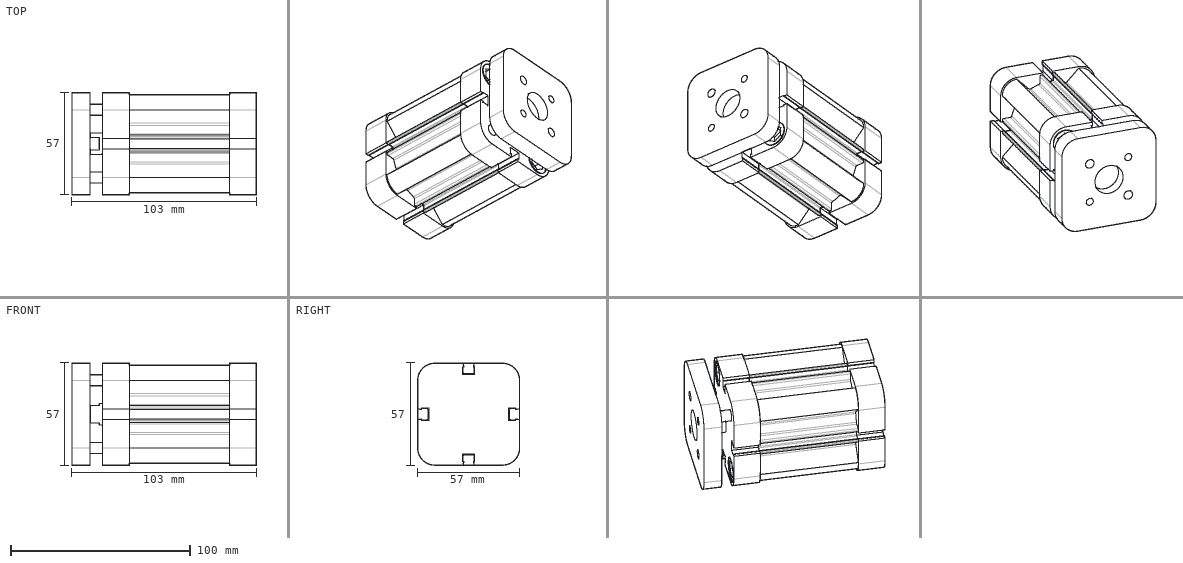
import cadquery as cq
import math

total_length = 103.0
plate_thickness = 10.2
stroke_gap = 6.8
cap_length = 15.0
front_cap_start = plate_thickness + stroke_gap
profile_start = front_cap_start + cap_length
rear_cap_start = total_length - cap_length
profile_length = rear_cap_start - profile_start

section_size = 57.0
half_section = section_size / 2
corner_radius = 9.6
corner_offset = half_section - corner_radius

plate_recess_diameter = 17.0
plate_recess_depth = 6.6
plate_hole_offset = 11.6
plate_large_hole_diameter = 5.2
plate_small_hole_diameter = 4.2

guide_rod_diameter = 6.3
piston_diameter = 12.0
flat_spacing = 10.0
flat_length = 5.0
piston_chamfer = 0.3

slot_lip_bottom = 26.3
cap_slot_width = 5.8
cap_chamber_width = 6.8
cap_slot_floor = 22.2
profile_slot_width = 5.5
profile_chamber_width = 6.2
profile_slot_floor = 22.8
slot_fillet = 0.5

profile_inset = 1.0
barrel_radius = 22.5
web_width = 12.4
web_root_fillet = 1.0
rib_width = 9.5
rib_height = 27.4
rib_edge_fillet = 0.8
rib_root_fillet = 0.9

socket_rim_diameter = 14.2
socket_rim_depth = 0.5
socket_across_flats = 8.8
socket_offset = 19.3
socket_depth = 6.4

rod_corners = [(-corner_offset, corner_offset), (corner_offset, -corner_offset)]
socket_corners = [(socket_offset, socket_offset), (-socket_offset, -socket_offset)]


def rounded_square(start, length, size, radius):
    """Square bar along X with rounded long edges."""
    bar = cq.Workplane("YZ", origin=(start, 0, 0)).rect(size, size).extrude(length)
    return bar.edges("|X").fillet(radius)


def cylinders(start, length, diameter, centers):
    """Cylinders along X at the given (Y, Z) centres."""
    plane = cq.Workplane("YZ", origin=(start, 0, 0))
    return plane.pushPoints(centers).circle(diameter / 2).extrude(length)


def top_bar(start, length, width, bottom, top):
    """Rectangular bar along X above the axis, centred on Y = 0."""
    plane = cq.Workplane("YZ", origin=(start, 0, (bottom + top) / 2))
    return plane.rect(width, top - bottom).extrude(length)


def turned(shape, quarter_turns):
    return shape.rotate((0, 0, 0), (1, 0, 0), 90 * quarter_turns)


def distance_from_axis(edge):
    return math.hypot(edge.Center().y, edge.Center().z)


def make_plate():
    h = plate_hole_offset
    plate = rounded_square(0, plate_thickness, section_size, corner_radius)
    plate = plate.cut(cylinders(0, plate_recess_depth, plate_recess_diameter, [(0, 0)]))
    plate = plate.cut(cylinders(0, plate_thickness, plate_large_hole_diameter, [(h, h), (-h, -h)]))
    return plate.cut(cylinders(0, plate_thickness, plate_small_hole_diameter, [(-h, h), (h, -h)]))


def make_cap(start):
    """End cap with an undercut slot in each side."""
    cap = rounded_square(start, cap_length, section_size, corner_radius)
    neck = top_bar(start, cap_length, cap_slot_width, cap_slot_floor, half_section)
    chamber = top_bar(start, cap_length, cap_chamber_width, cap_slot_floor, slot_lip_bottom)
    slot = neck.union(chamber)
    for side in range(4):
        cap = cap.cut(turned(slot, side))
    return cap


def make_profile_core():
    """Round barrel with a flat-sided diagonal web running out to each rounded corner."""
    envelope = rounded_square(profile_start, profile_length,
                              section_size - 2 * profile_inset, corner_radius - profile_inset)
    web = cq.Workplane("YZ", origin=(profile_start, 0, 0)).rect(2 * section_size, web_width)
    web = web.extrude(profile_length).rotate((0, 0, 0), (1, 0, 0), 45)
    webs = web.union(turned(web, 1)).intersect(envelope)
    barrel = cylinders(profile_start, profile_length, 2 * barrel_radius, [(0, 0)])
    barrel = barrel.rotate((0, 0, 0), (1, 0, 0), 45)
    core = barrel.union(webs)
    web_roots = core.edges("|X").filter(lambda edge: distance_from_axis(edge) < barrel_radius + 0.1)
    return web_roots.fillet(web_root_fillet)


def make_profile():
    """Core with a slotted rib along the middle of each side."""
    profile = make_profile_core()
    rib = top_bar(profile_start, profile_length, rib_width, 0, rib_height)
    rib = rib.edges("|X and >Z").fillet(rib_edge_fillet)
    for side in range(4):
        profile = profile.union(turned(rib, side))

    root_distance = rib_width / 2

    def is_rib_root(edge):
        nearest = min(abs(edge.Center().y), abs(edge.Center().z))
        on_barrel = abs(distance_from_axis(edge) - barrel_radius) < 0.01
        return on_barrel and abs(nearest - root_distance) < 0.01

    profile = profile.edges("|X").filter(is_rib_root).fillet(rib_root_fillet)

    neck = top_bar(profile_start, profile_length, profile_slot_width, slot_lip_bottom, rib_height)
    chamber = top_bar(profile_start, profile_length, profile_chamber_width,
                      profile_slot_floor, slot_lip_bottom)
    chamber = chamber.edges("|X and <Z").fillet(slot_fillet)
    slot = chamber.union(neck)
    for side in range(4):
        profile = profile.cut(turned(slot, side))

    def is_slot_mouth(edge):
        nearest, farthest = sorted([abs(edge.Center().y), abs(edge.Center().z)])
        on_top = abs(farthest - rib_height) < 0.01
        return on_top and abs(nearest - profile_slot_width / 2) < 0.01

    return profile.edges("|X").filter(is_slot_mouth).fillet(slot_fillet)


def hexagon_sockets():
    """Hexagon pockets with two flats square to Y, each in a shallow round recess."""
    rims = cylinders(front_cap_start, socket_rim_depth, socket_rim_diameter, socket_corners)
    across_corners = socket_across_flats / math.cos(math.pi / 6)
    hexagon = cq.Workplane("YZ", origin=(front_cap_start, 0, 0)).polygon(6, across_corners)
    hexagon = hexagon.extrude(socket_depth).rotate((0, 0, 0), (1, 0, 0), 30)
    for y, z in socket_corners:
        rims = rims.union(hexagon.translate((0, y, z)))
    return rims


def make_housing():
    """End caps and profile as one solid, with the sockets in the front face."""
    housing = make_cap(front_cap_start).union(make_profile()).union(make_cap(rear_cap_start))
    return housing.cut(hexagon_sockets())


def chamfered_piston(start, end):
    """Length of piston rod with a chamfer around its -X end."""
    rod = cylinders(start, end - start, piston_diameter, [(0, 0)])
    return rod.faces("<X").chamfer(piston_chamfer)


def make_piston_rod():
    """Piston rod between plate and housing, with two wrench flats next to the plate."""
    shoulder = plate_thickness + flat_length
    collar = chamfered_piston(shoulder, front_cap_start)
    neck = chamfered_piston(plate_thickness, front_cap_start)
    neck = neck.intersect(top_bar(plate_thickness, stroke_gap, piston_diameter,
                                  -flat_spacing / 2, flat_spacing / 2))
    return collar.union(neck)


def make_guide_rod(center):
    return cylinders(plate_thickness, stroke_gap, guide_rod_diameter, [center])


plate = make_plate()
housing = make_housing()
piston_rod = make_piston_rod()
guide_rods = [make_guide_rod(center) for center in rod_corners]

result = cq.Compound.makeCompound(
    [plate.val(), housing.val(), piston_rod.val(), *[rod.val() for rod in guide_rods]]
)